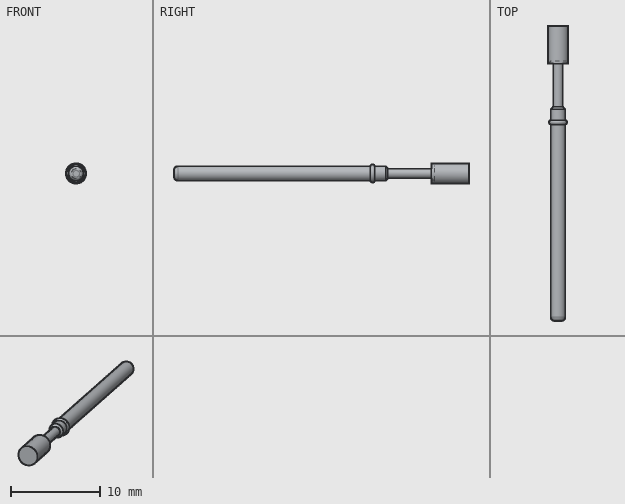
import cadquery as cq

total_length = 33.1
head_radius = 1.142
head_length = 4.25
rod_radius = 0.545
barrel_radius = 0.83
barrel_length = 24.0
shoulder_chamfer = 0.25
end_round = 0.45
bead_radius = 1.03
bead_width = 0.5
bead_setback = 1.72

groove_radius = (head_radius + rod_radius) / 2
groove_depth = (head_radius - rod_radius) / 2

head_end = total_length / 2
head_rear = head_end - head_length
barrel_end = -total_length / 2
shoulder = barrel_end + barrel_length
bead_center = shoulder - bead_setback
bead_front = bead_center + bead_width / 2
bead_rear = bead_center - bead_width / 2


def revolve_about_y(profile):
    return profile.close().revolve(360, (0, 0, 0), (0, 1, 0))


def make_barrel():
    """Barrel with a chamfered shoulder and a rounded closed end."""
    barrel = cq.Workplane("XZ", origin=(0, shoulder, 0)).circle(barrel_radius).extrude(barrel_length)
    return barrel.faces(">Y").chamfer(shoulder_chamfer).faces("<Y").edges().fillet(end_round)


def make_bead():
    """Raised ring around the barrel with an arched outline."""
    profile = (
        cq.Workplane("XY")
        .moveTo(0, bead_rear)
        .lineTo(barrel_radius, bead_rear)
        .threePointArc((bead_radius, bead_center), (barrel_radius, bead_front))
        .lineTo(0, bead_front)
    )
    return revolve_about_y(profile)


def make_plunger():
    """Rod and cylindrical head, with the V-groove in the rear face of the head."""
    profile = (
        cq.Workplane("XY")
        .moveTo(0, shoulder)
        .lineTo(rod_radius, shoulder)
        .lineTo(rod_radius, head_rear)
        .lineTo(groove_radius, head_rear + groove_depth)
        .lineTo(head_radius, head_rear)
        .lineTo(head_radius, head_end)
        .lineTo(0, head_end)
    )
    return revolve_about_y(profile)


result = make_barrel().union(make_bead()).union(make_plunger())